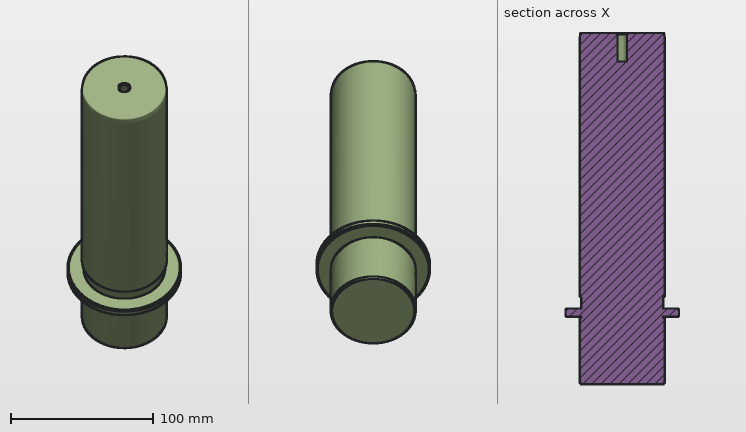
import cadquery as cq

total_height = 247.0
body_radius = 60.0 / 2
neck_radius = 29.0
collar_radius = 40.0

collar_bottom = 47.5
collar_thickness = 6.0
collar_top = collar_bottom + collar_thickness
neck_top = 60.8

edge_height = 1.5
edge_width = body_radius - neck_radius
collar_chamfer = 1.0

lead_height = 4.0
lead_width = 0.5
rim_radius = 1.0

hole_radius = 3.2
hole_mouth_radius = 4.2
hole_depth = 20.0


def make_pin():
    """Revolve the half profile of the stepped pin around Z."""
    lead_radius = body_radius - lead_width
    profile = (
        cq.Workplane("XZ")
        .lineTo(neck_radius, 0)
        .line(edge_width, edge_height)
        .lineTo(body_radius, collar_bottom - edge_height)
        .line(-edge_width, edge_height)
        .lineTo(collar_radius - collar_chamfer, collar_bottom)
        .line(collar_chamfer, collar_chamfer)
        .lineTo(collar_radius, collar_top - collar_chamfer)
        .line(-collar_chamfer, collar_chamfer)
        .lineTo(neck_radius, collar_top)
        .lineTo(neck_radius, neck_top)
        .line(edge_width, edge_height)
        .lineTo(body_radius, total_height - lead_height)
        .lineTo(lead_radius, total_height)
        .lineTo(0, total_height)
        .close()
    )
    pin = profile.revolve(360, (0, 0, 0), (0, 1, 0))
    return pin.faces(">Z").edges().fillet(rim_radius)


def make_hole():
    """Blind hole whose mouth opens at 45 degrees to the top face."""
    mouth_depth = hole_mouth_radius - hole_radius
    profile = (
        cq.Workplane("XZ")
        .moveTo(0, total_height)
        .lineTo(hole_mouth_radius, total_height)
        .lineTo(hole_radius, total_height - mouth_depth)
        .lineTo(hole_radius, total_height - hole_depth)
        .lineTo(0, total_height - hole_depth)
        .close()
    )
    return profile.revolve(360, (0, total_height, 0), (0, total_height + 2.5, 0))


result = make_pin().cut(make_hole())